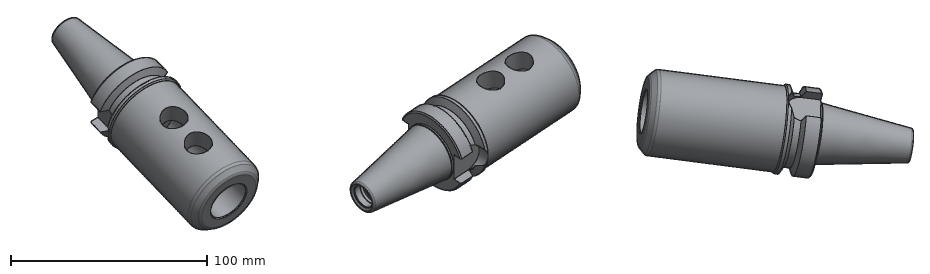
import cadquery as cq

length = 138.7

taper_length = 48.5
taper_large_radius = 16.0
taper_slope = 7 / 48
taper_small_radius = taper_large_radius - taper_length * taper_slope
taper_end_round = 1.1
neck_radius = 16.2
neck_chamfer = 0.3

flange_start = 49.8
flange_end = 68.5
flange_radius = 23.0
flange_chamfer = 0.7
groove_root_radius = 19.1
groove_start = 58.3
groove_root_start = 60.2
groove_root_end = 63.8
groove_end = 66.0

nose_radius = 22.2
nose_chamfer = 4.0
nose_blend = 2.4

socket_radius = 11.1
socket_start = 76.3
socket_mouth_radius = 11.58
through_radius = 5.06
counterbore_radius = 6.2
counterbore_end = 5.3
counterbore_floor = 7.2
relief_radius = 6.5
mouth_relief_depth = 1.4
mouth_radius = 7.8
mouth_depth = 0.8

slot_width = 16.6
slot_floor = 16.5
slot_end = 67.8
cutter_overrun = 1.4

screw_diameter = 14.3
screw_positions = (92.4, 112.9)


def revolve_about_x(points):
    """Turn an (x, radius) outline about the X axis."""
    return cq.Workplane("XY").polyline(points).close().revolve(360, (0, 0, 0), (1, 0, 0))


def make_blank():
    """Taper, grooved flange and nose in one turned outline."""
    blank = revolve_about_x([
        (0, 0),
        (0, taper_small_radius),
        (taper_length, taper_large_radius),
        (taper_length + neck_chamfer, neck_radius),
        (flange_start, neck_radius),
        (flange_start, flange_radius - flange_chamfer),
        (flange_start + flange_chamfer, flange_radius),
        (groove_start, flange_radius),
        (groove_root_start, groove_root_radius),
        (groove_root_end, groove_root_radius),
        (groove_end, flange_radius),
        (flange_end - flange_chamfer, flange_radius),
        (flange_end, flange_radius - flange_chamfer),
        (flange_end, nose_radius),
        (length - nose_chamfer, nose_radius),
        (length, nose_radius - nose_chamfer),
        (length, 0),
    ])
    blank = blank.faces("<X").edges().fillet(taper_end_round)
    blank = blank.faces(">X").edges().fillet(nose_blend)
    shoulder_center = (length - nose_chamfer, 0, 0)
    return blank.edges(cq.selectors.NearestToPointSelector(shoulder_center)).fillet(nose_blend)


def make_bores():
    """Stepped bore: relieved counterbore, through hole and tool socket, with chamfered mouths."""
    socket_chamfer = socket_mouth_radius - socket_radius
    return revolve_about_x([
        (0, 0),
        (0, mouth_radius),
        (mouth_depth, relief_radius),
        (mouth_relief_depth, relief_radius),
        (mouth_relief_depth, counterbore_radius),
        (counterbore_end, counterbore_radius),
        (counterbore_end, relief_radius),
        (counterbore_floor, relief_radius),
        (counterbore_floor, through_radius),
        (socket_start, through_radius),
        (socket_start, socket_radius),
        (length - socket_chamfer, socket_radius),
        (length, socket_mouth_radius),
        (length, 0),
    ])


def make_drive_slot(side):
    """Round-ended slot cutter on the +Y (side = 1) or -Y (side = -1) flank."""
    slot_radius = slot_width / 2
    round_center = slot_end - slot_radius
    depth = side * (flange_radius - slot_floor + cutter_overrun)
    plane = cq.Workplane("XZ", origin=(0, side * slot_floor, 0))
    return (
        plane.moveTo(taper_length, -slot_radius)
        .lineTo(round_center, -slot_radius)
        .threePointArc((slot_end, 0), (round_center, slot_radius))
        .lineTo(taper_length, slot_radius)
        .close()
        .extrude(-depth)
    )


def make_screw_hole(x):
    """Vertical hole from the axis out through the top of the nose."""
    plane = cq.Workplane("XY").center(x, 0)
    return plane.circle(screw_diameter / 2).extrude(flange_radius)


result = make_blank().cut(make_bores())
for side in (-1, 1):
    result = result.cut(make_drive_slot(side))
for x in screw_positions:
    result = result.cut(make_screw_hole(x))